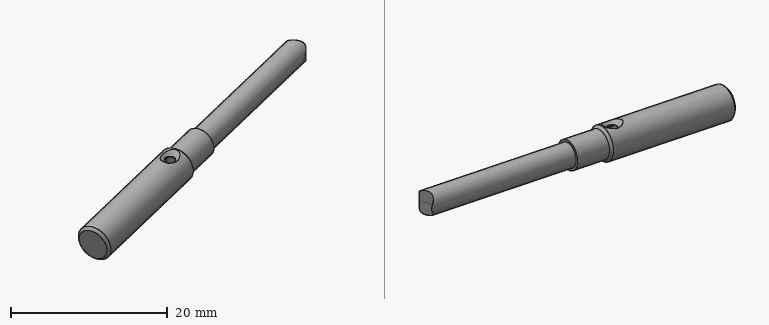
import cadquery as cq

sleeve_diameter = 5.0
neck_diameter = 4.2
sleeve_length = 25.0
neck_length = 5.05
nose_chamfer = 0.4
shoulder_height = (sleeve_diameter - neck_diameter) / 2

bore_diameter = 3.55
bore_bottom = 17.0

inspection_y = 17.95
inspection_diameter = 1.45
countersink_diameter = 2.95
countersink_angle = 100

cable_diameter = 3.5
cable_start = 19.85
total_length = 47.9
valley_x = -0.8
valley_drop = 0.7
peak_x = 0.85
peak_drop = 0.2
right_edge_drop = 1.55


def cylinder_along_y(diameter, start, end):
    """Solid cylinder on the Y axis between two Y positions."""
    return cq.Workplane("XZ", origin=(0, start, 0)).circle(diameter / 2).extrude(start - end)


def make_sleeve_blank():
    """Turned outside shape: chamfered nose, body, conical shoulder and neck."""
    sleeve_radius = sleeve_diameter / 2
    neck_radius = neck_diameter / 2
    shoulder_end = sleeve_length - neck_length
    return (
        cq.Workplane("XY")
        .lineTo(sleeve_radius - nose_chamfer, 0)
        .lineTo(sleeve_radius, nose_chamfer)
        .lineTo(sleeve_radius, shoulder_end - shoulder_height)
        .lineTo(neck_radius, shoulder_end)
        .lineTo(neck_radius, sleeve_length)
        .lineTo(0, sleeve_length)
        .close()
        .revolve(360, (0, 0, 0), (0, 1, 0))
    )


def make_sleeve():
    """Sleeve with its cable bore and countersunk inspection hole."""
    bore = cylinder_along_y(bore_diameter, bore_bottom, sleeve_length)
    top_of_sleeve = sleeve_diameter / 2
    return (
        make_sleeve_blank()
        .cut(bore)
        .copyWorkplane(cq.Workplane("XY", origin=(0, inspection_y, top_of_sleeve)))
        .cskHole(inspection_diameter, countersink_diameter, countersink_angle, depth=top_of_sleeve)
    )


def make_cable():
    """Round cable whose far end follows a wave across X, constant along Z."""
    cable_radius = cable_diameter / 2
    wave_points = [
        (valley_x, total_length - valley_drop),
        (peak_x, total_length - peak_drop),
        (cable_radius, total_length - right_edge_drop),
    ]
    wavy_outline = (
        cq.Workplane("XY")
        .moveTo(-cable_radius, cable_start)
        .lineTo(-cable_radius, total_length)
        .spline(wave_points, includeCurrent=True)
        .lineTo(cable_radius, cable_start)
        .close()
        .extrude(cable_radius, both=True)
    )
    return cylinder_along_y(cable_diameter, cable_start, total_length).intersect(wavy_outline)


sleeve = make_sleeve()
cable = make_cable()

result = cq.Compound.makeCompound([sleeve.val(), cable.val()])